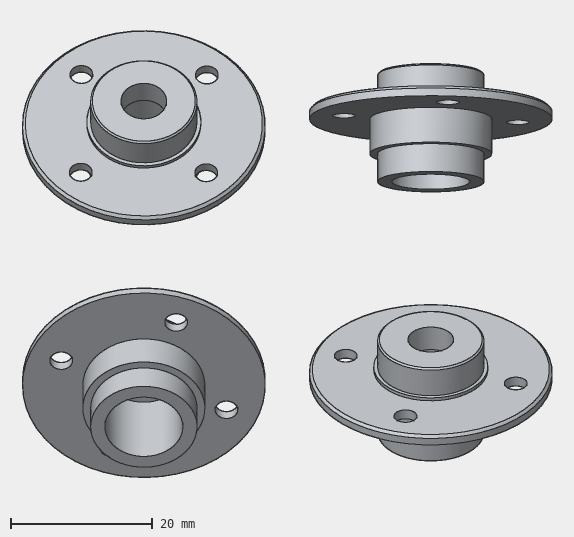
import cadquery as cq

total_height = 15.55
spigot_height = 4.0
boss_height = 5.0
flange_thickness = 1.5
lip_height = 0.5
hub_height = total_height - spigot_height - boss_height - flange_thickness - lip_height

hub_diameter = 15.0
boss_diameter = 17.2
flange_diameter = 34.22
lip_diameter = 16.09

flange_chamfer = 0.4
hub_chamfer = 0.25

bore_diameter = 6.42
bore_length = 3.8
counterbore_diameter = 11.0
counterbore_depth = total_height - bore_length

mounting_hole_diameter = 3.2
mounting_circle_diameter = 25.0
mounting_hole_count = 4

boss_bottom = spigot_height
flange_bottom = boss_bottom + boss_height
lip_bottom = flange_bottom + flange_thickness
hub_bottom = lip_bottom + lip_height


def cylinder(diameter, height, bottom):
    """Upright cylinder on the Z axis, standing on the given height."""
    return cq.Workplane("XY").workplane(offset=bottom).circle(diameter / 2).extrude(height)


def make_flange():
    """Round flange with a chamfered top rim and a circle of mounting holes."""
    flange = cylinder(flange_diameter, flange_thickness, flange_bottom)
    flange = flange.faces(">Z").edges().chamfer(flange_chamfer)
    holes = (
        cq.Workplane("XY")
        .workplane(offset=flange_bottom)
        .polarArray(mounting_circle_diameter / 2, 0, 360, mounting_hole_count)
        .circle(mounting_hole_diameter / 2)
        .extrude(flange_thickness)
    )
    return flange.cut(holes)


def make_hub():
    """Upper hub with a chamfered top edge."""
    hub = cylinder(hub_diameter, hub_height, hub_bottom)
    return hub.faces(">Z").edges().chamfer(hub_chamfer)


def make_body():
    """Stepped body, before the central bore is cut."""
    spigot = cylinder(hub_diameter, spigot_height, 0)
    boss = cylinder(boss_diameter, boss_height, boss_bottom)
    lip = cylinder(lip_diameter, lip_height, lip_bottom)
    return spigot.union(boss).union(make_flange()).union(lip).union(make_hub())


def cut_bore(body):
    """Through bore with a wide counterbore from the bottom face."""
    bore = cylinder(bore_diameter, total_height, 0)
    counterbore = cylinder(counterbore_diameter, counterbore_depth, 0)
    return body.cut(bore).cut(counterbore)


result = cut_bore(make_body())